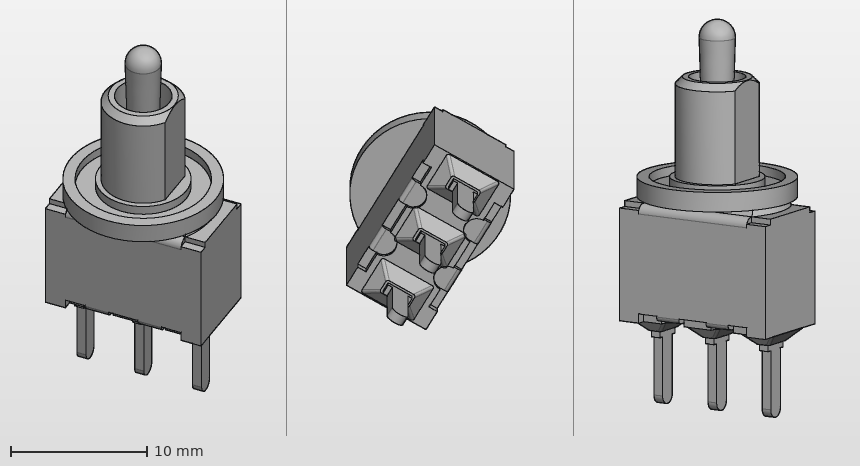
import cadquery as cq
import math

total_height = 29.23

pin_spacing = 4.7
pin_thickness = 0.75
pin_width = 1.35
pin_shoulder_width = 2.05
pin_shoulder_z = 5.1

seal_bottom_z = 5.58
seal_bottom_length = 1.1
seal_bottom_width = 2.45
seal_flare = 1.0
seal_edge_radius = 0.3

body_length = 12.7
body_width = 6.78
body_bottom_z = 6.55
body_shoulder_z = 15.0
body_top_z = 15.43
core_width = 5.38

shell_length = 2 * pin_spacing
shell_bottom_z = 7.25
shell_corner_radius = (body_width - core_width) / 2
tab_length = 1.93
tab_spacing = 4.3
tab_bottom_z = 6.85
tab_bend_radius = 0.35
tab_positions = (-tab_spacing / 2, tab_spacing / 2)
tab_pocket_radius = tab_length / 2

cap_radius = 5.47
cap_taper = 35.0

flange_radius = 5.9
flange_bottom_z = 16.02
flange_top_z = 17.48
recess_radius = 5.0
recess_depth = 0.7
collar_radius = 3.5

bushing_radius = 3.1
bushing_top_z = 24.95
bushing_chamfer = 0.53
bushing_flat_x = 2.6
bore_radius = 2.1

lever_tip_radius = 1.35
lever_base_radius = 1.02


def block(length, width, bottom, top, x=0.0):
    """Box centred on (x, 0) that spans bottom to top in Z."""
    return cq.Workplane("XY", origin=(x, 0, bottom)).rect(length, width).extrude(top - bottom)


def disc(radius, bottom, top):
    """Cylinder on the Z axis that spans bottom to top."""
    return cq.Workplane("XY", origin=(0, 0, bottom)).circle(radius).extrude(top - bottom)


def make_pin(x):
    """Flat pin with a full-round tip and a wider shoulder, reaching up into the body."""
    tip_radius = pin_width / 2
    blade = (
        cq.Workplane("YZ", origin=(x, 0, 0))
        .moveTo(-tip_radius, body_bottom_z)
        .lineTo(-tip_radius, tip_radius)
        .threePointArc((0, 0), (tip_radius, tip_radius))
        .lineTo(tip_radius, body_bottom_z)
        .close()
        .extrude(pin_thickness / 2, both=True)
    )
    return blade.union(block(pin_thickness, pin_shoulder_width, pin_shoulder_z, body_bottom_z, x))


def make_seal(x):
    """Rectangular collar that widens from the pin up to the body."""
    height = body_bottom_z - seal_bottom_z
    seal = (
        cq.Workplane("XY", origin=(x, 0, seal_bottom_z))
        .rect(seal_bottom_length, seal_bottom_width)
        .workplane(offset=height)
        .rect(seal_bottom_length + 2 * seal_flare, seal_bottom_width + 2 * seal_flare)
        .loft(combine=True)
    )
    return seal.edges("not #Z").fillet(seal_edge_radius)


def make_body():
    """Core with full-width end walls and a round pocket in its lower edge under each tab."""
    core = block(body_length, core_width, body_bottom_z, body_top_z)
    pocket_centres = [(x, y) for x in tab_positions for y in (-core_width / 2, core_width / 2)]
    pockets = (
        cq.Workplane("XY", origin=(0, 0, body_bottom_z))
        .pushPoints(pocket_centres)
        .circle(tab_pocket_radius)
        .extrude(tab_bottom_z - body_bottom_z)
    )
    walls = block(body_length, body_width, body_bottom_z, body_shoulder_z)
    middle = block(shell_length, body_width, body_bottom_z, body_shoulder_z)
    return core.cut(pockets).union(walls.cut(middle))


def make_shell():
    """Cover with rounded upper corners and two bent tabs on each lower edge."""
    shell = block(shell_length, body_width, shell_bottom_z, body_top_z)
    shell = shell.faces(">Z").edges("|X").fillet(shell_corner_radius)
    for x in tab_positions:
        tab = block(tab_length, body_width, tab_bottom_z, shell_bottom_z, x)
        shell = shell.union(tab.faces("<Z").edges("|X").fillet(tab_bend_radius))
    return shell


def make_cap():
    """Plate with straight long sides and arc-shaped ends, sloping inward all round."""
    half_width = core_width / 2
    corner_x = math.sqrt(cap_radius**2 - half_width**2)
    return (
        cq.Workplane("XY", origin=(0, 0, body_top_z))
        .moveTo(-corner_x, -half_width)
        .lineTo(corner_x, -half_width)
        .threePointArc((cap_radius, 0), (corner_x, half_width))
        .lineTo(-corner_x, half_width)
        .threePointArc((-cap_radius, 0), (-corner_x, -half_width))
        .close()
        .extrude(flange_bottom_z - body_top_z, taper=cap_taper)
    )


def make_flange():
    """Round flange recessed between its rim and the collar."""
    recess_floor_z = flange_top_z - recess_depth
    recess = disc(recess_radius, recess_floor_z, flange_top_z)
    recess = recess.cut(disc(collar_radius, recess_floor_z, flange_top_z))
    return disc(flange_radius, flange_bottom_z, flange_top_z).cut(recess)


def make_bushing():
    """Chamfered tube with one flat side."""
    tube = disc(bushing_radius, flange_top_z, bushing_top_z).faces(">Z").chamfer(bushing_chamfer)
    tube = tube.cut(disc(bore_radius, flange_top_z, bushing_top_z))
    kept_length = bushing_flat_x + bushing_radius
    kept_x = (bushing_flat_x - bushing_radius) / 2
    return tube.intersect(
        block(kept_length, 2 * bushing_radius, flange_top_z, bushing_top_z, kept_x)
    )


def make_lever():
    """Shank that widens upward to a round tip and stands in a half-ball seat."""
    tip_centre_z = total_height - lever_tip_radius
    tip_arc_offset = lever_tip_radius * math.sqrt(0.5)
    shank = (
        cq.Workplane("XZ")
        .moveTo(0, flange_top_z)
        .lineTo(lever_base_radius, flange_top_z)
        .lineTo(lever_tip_radius, tip_centre_z)
        .threePointArc((tip_arc_offset, tip_centre_z + tip_arc_offset), (0, total_height))
        .close()
        .revolve(360, (0, 0), (0, 1))
    )
    seat_arc_offset = bore_radius * math.sqrt(0.5)
    seat = (
        cq.Workplane("XZ")
        .moveTo(0, flange_top_z)
        .lineTo(bore_radius, flange_top_z)
        .threePointArc(
            (seat_arc_offset, flange_top_z + seat_arc_offset), (0, flange_top_z + bore_radius)
        )
        .close()
        .revolve(360, (0, 0), (0, 1))
    )
    return shank.union(seat)


result = make_body().union(make_shell()).union(make_cap()).union(make_flange())
result = result.union(make_bushing()).union(make_lever())
for pin_x in (-pin_spacing, 0, pin_spacing):
    result = result.union(make_seal(pin_x)).union(make_pin(pin_x))